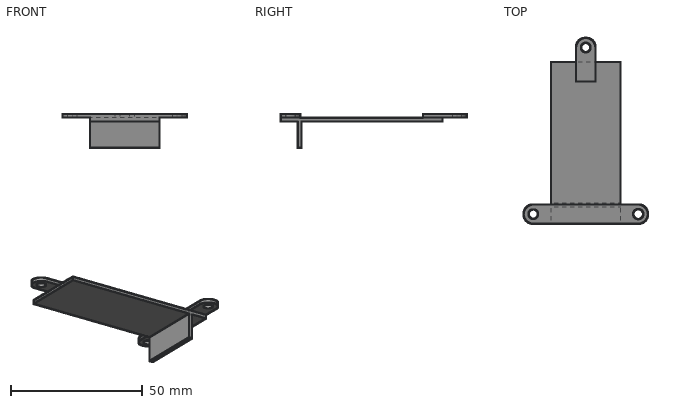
import cadquery as cq

SHEET = 1.5
PLATE_WIDTH = 26.5
PLATE_LENGTH = 61.75
EAR_WIDTH = 7.5
EAR_RADIUS = EAR_WIDTH / 2
HOLE_SPACING = 40.0
TAB_OVERLAP = 7.5
OVERALL_LENGTH = 71.0
SMALL_HOLE = 3.5
LARGE_HOLE = 3.75
FLANGE_DROP = 10.0
FLANGE_SETBACK = 6.5

STRIP_Y = EAR_RADIUS
TAB_HOLE_Y = OVERALL_LENGTH - EAR_RADIUS
TAB_START_Y = PLATE_LENGTH - TAB_OVERLAP


def block(width, length, height, front_y, bottom_z):
    """Box centred on X, placed by its front edge and its bottom face."""
    return (
        cq.Workplane("XY")
        .box(width, length, height, centered=(True, False, False))
        .translate((0, front_y, bottom_z))
    )


def hole(diameter, x, y):
    """Cutter for a through hole in the upper layer."""
    return cq.Workplane("XY").center(x, y).circle(diameter / 2).extrude(SHEET)


def cross_strip():
    """Round-ended strip lying across the front of the plate, with a hole at each end."""
    strip = (
        cq.Workplane("XY")
        .center(0, STRIP_Y)
        .slot2D(HOLE_SPACING + EAR_WIDTH, EAR_WIDTH)
        .extrude(SHEET)
    )
    left_hole = hole(SMALL_HOLE, -HOLE_SPACING / 2, STRIP_Y)
    right_hole = hole(LARGE_HOLE, HOLE_SPACING / 2, STRIP_Y)
    return strip.cut(left_hole).cut(right_hole)


def rear_tab():
    """Tab with a rounded, drilled end overhanging the rear of the plate."""
    tab = (
        cq.Workplane("XY")
        .moveTo(-EAR_RADIUS, TAB_START_Y)
        .lineTo(EAR_RADIUS, TAB_START_Y)
        .lineTo(EAR_RADIUS, TAB_HOLE_Y)
        .threePointArc((0, OVERALL_LENGTH), (-EAR_RADIUS, TAB_HOLE_Y))
        .close()
        .extrude(SHEET)
    )
    return tab.cut(hole(SMALL_HOLE, 0, TAB_HOLE_Y))


plate = block(PLATE_WIDTH, PLATE_LENGTH, SHEET, 0, -SHEET)
flange = block(PLATE_WIDTH, SHEET, FLANGE_DROP, FLANGE_SETBACK, -SHEET - FLANGE_DROP)

result = plate.union(flange).union(cross_strip()).union(rear_tab())